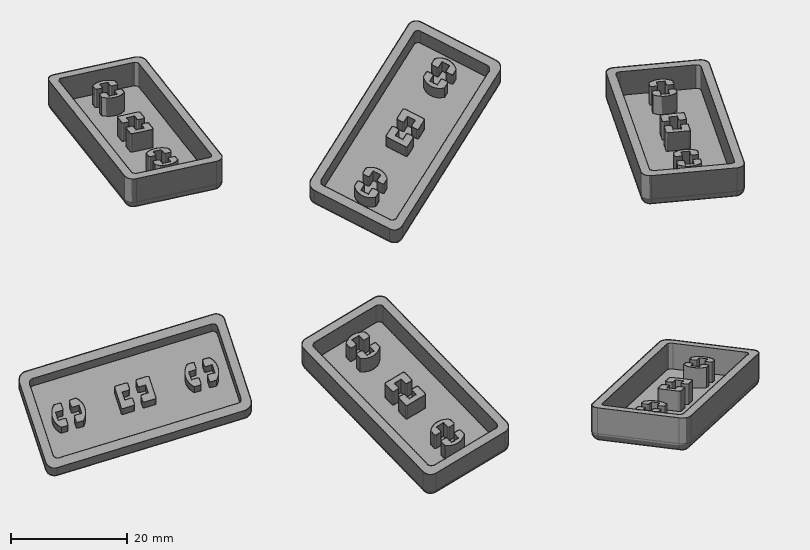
import cadquery as cq

LENGTH = 37.1
WIDTH = 18.05
HEIGHT = 6.3
WALL = 1.6
FLOOR = WALL
CORNER_RADIUS = WALL
BOTTOM_RADIUS = CORNER_RADIUS
CAVITY_CORNER_RADIUS = 0.8

STEM_HEIGHT = 3.7
STEM_DEPTH = 4.23
SQUARE_STEM_WIDTH = 6.25
ROUND_STEM_DIAMETER = 5.82
ROUND_STEM_OFFSET = 12.02
STEM_EDGE_RADIUS = 0.25
SOCKET_LENGTH = STEM_DEPTH
SOCKET_ARM_WIDTH = 1.5
SPLIT_WIDTH = 1.5


def floor_plane():
    """Workplane on the cavity floor, centred on the tray."""
    return cq.Workplane("XY").workplane(offset=FLOOR)


def make_tray():
    body = cq.Workplane("XY").box(LENGTH, WIDTH, HEIGHT, centered=(True, True, False))
    body = body.edges("|Z").fillet(CORNER_RADIUS)
    body = body.faces("<Z").edges().fillet(BOTTOM_RADIUS)
    cavity = floor_plane().rect(LENGTH - 2 * WALL, WIDTH - 2 * WALL).extrude(HEIGHT - FLOOR)
    return body.cut(cavity.edges("|Z").fillet(CAVITY_CORNER_RADIUS))


def stem_block(width):
    """Rectangular block standing on the cavity floor at the tray centre."""
    return floor_plane().rect(width, STEM_DEPTH).extrude(STEM_HEIGHT)


def cut_socket(block):
    """Split the block along Y, widen the split with an X slot and round the mouth edges."""
    split = floor_plane().rect(SPLIT_WIDTH, STEM_DEPTH).extrude(STEM_HEIGHT)
    arm = floor_plane().rect(SOCKET_LENGTH, SOCKET_ARM_WIDTH).extrude(STEM_HEIGHT)
    mouth_reach = SPLIT_WIDTH / 2 + STEM_EDGE_RADIUS
    mouth = cq.selectors.BoxSelector(
        (-mouth_reach, -STEM_DEPTH, FLOOR),
        (mouth_reach, STEM_DEPTH, HEIGHT),
    )
    return block.cut(split).cut(arm).edges("|Z").edges(mouth).fillet(STEM_EDGE_RADIUS)


def make_square_stem():
    block = stem_block(SQUARE_STEM_WIDTH).edges("|Z").fillet(STEM_EDGE_RADIUS)
    return cut_socket(block)


def make_round_stem():
    """Cylinder with its two Y sides flattened to the common stem depth."""
    cylinder = floor_plane().circle(ROUND_STEM_DIAMETER / 2).extrude(STEM_HEIGHT)
    return cut_socket(cylinder.intersect(stem_block(ROUND_STEM_DIAMETER)))


result = make_tray().union(make_square_stem())
for offset in (-ROUND_STEM_OFFSET, ROUND_STEM_OFFSET):
    result = result.union(make_round_stem().translate((offset, 0, 0)))